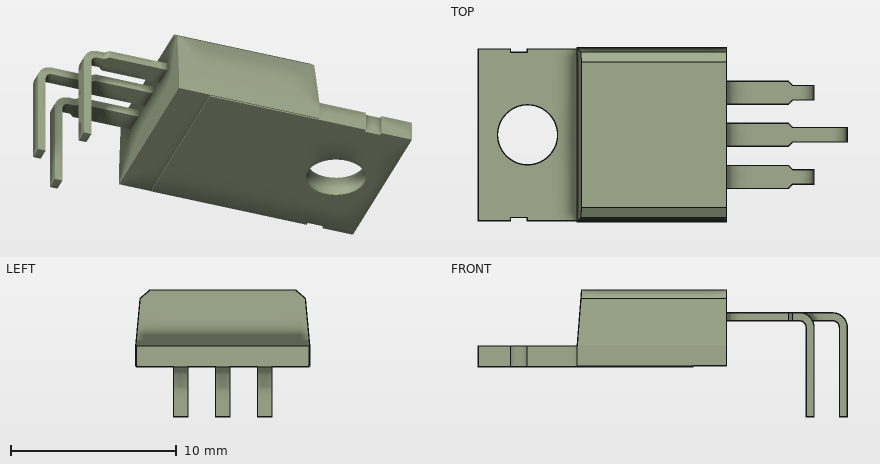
import cadquery as cq

tab_length = 12.95
tab_width = 10.37
tab_thickness = 1.27
hole_x = 2.98
hole_diameter = 3.6
notch_start = 1.95
notch_length = 1.0
notch_depth = 0.2

body_start = 5.96
body_end = 14.97
body_width = 10.5
body_bottom = 0.07
body_top = 4.65
draft_inset = 0.27
shoulder_z = 4.14
top_flat_width = 8.77

lead_pitch = 2.54
lead_thickness = 0.5
lead_top = 3.27
lead_foot = -3.0
lead_wide = 1.4
lead_narrow = 0.9
wide_end = 18.7
taper_length = (lead_wide - lead_narrow) / 2
outer_lead_reach = 20.25
middle_lead_reach = 22.25
bend_radius = 0.9
lead_embed = 0.45


def make_tab():
    tab = cq.Workplane("XY").box(tab_length, tab_width, tab_thickness, centered=(False, True, False))
    hole = cq.Workplane("XY").center(hole_x, 0).circle(hole_diameter / 2).extrude(tab_thickness)
    notches = (
        cq.Workplane("XY")
        .pushPoints([(notch_start + notch_length / 2, side * tab_width / 2) for side in (-1, 1)])
        .rect(notch_length, 2 * notch_depth)
        .extrude(tab_thickness)
    )
    return tab.cut(hole).cut(notches)


def make_body():
    base_half = body_width / 2
    shoulder_half = base_half - draft_inset
    top_half = top_flat_width / 2
    body = (
        cq.Workplane("YZ", origin=(body_start, 0, 0))
        .polyline([
            (-base_half, body_bottom),
            (base_half, body_bottom),
            (base_half, tab_thickness),
            (shoulder_half, shoulder_z),
            (top_half, body_top),
            (-top_half, body_top),
            (-shoulder_half, shoulder_z),
            (-base_half, tab_thickness),
        ])
        .close()
        .extrude(body_end - body_start)
    )
    front_wedge = (
        cq.Workplane("XZ")
        .polyline([
            (body_start, tab_thickness),
            (body_start + draft_inset, body_top),
            (body_start, body_top),
        ])
        .close()
        .extrude(base_half, both=True)
    )
    return body.cut(front_wedge)


def make_lead(y, reach):
    start = body_end - lead_embed
    lead_bottom = lead_top - lead_thickness
    inner_radius = bend_radius - lead_thickness
    strip = (
        cq.Workplane("XZ")
        .moveTo(start, lead_top)
        .lineTo(reach - bend_radius, lead_top)
        .radiusArc((reach, lead_top - bend_radius), bend_radius)
        .lineTo(reach, lead_foot)
        .lineTo(reach - lead_thickness, lead_foot)
        .lineTo(reach - lead_thickness, lead_top - bend_radius)
        .radiusArc((reach - bend_radius, lead_bottom), -inner_radius)
        .lineTo(start, lead_bottom)
        .close()
        .extrude(lead_narrow / 2, both=True)
    )
    shoulder = (
        cq.Workplane("XY", origin=(0, 0, lead_bottom))
        .polyline([
            (start, -lead_wide / 2),
            (wide_end, -lead_wide / 2),
            (wide_end + taper_length, -lead_narrow / 2),
            (wide_end + taper_length, lead_narrow / 2),
            (wide_end, lead_wide / 2),
            (start, lead_wide / 2),
        ])
        .close()
        .extrude(lead_thickness)
    )
    return strip.union(shoulder).translate((0, y, 0))


result = make_tab().union(make_body())
for position in (-1, 0, 1):
    lead_reach = middle_lead_reach if position == 0 else outer_lead_reach
    result = result.union(make_lead(position * lead_pitch, lead_reach))